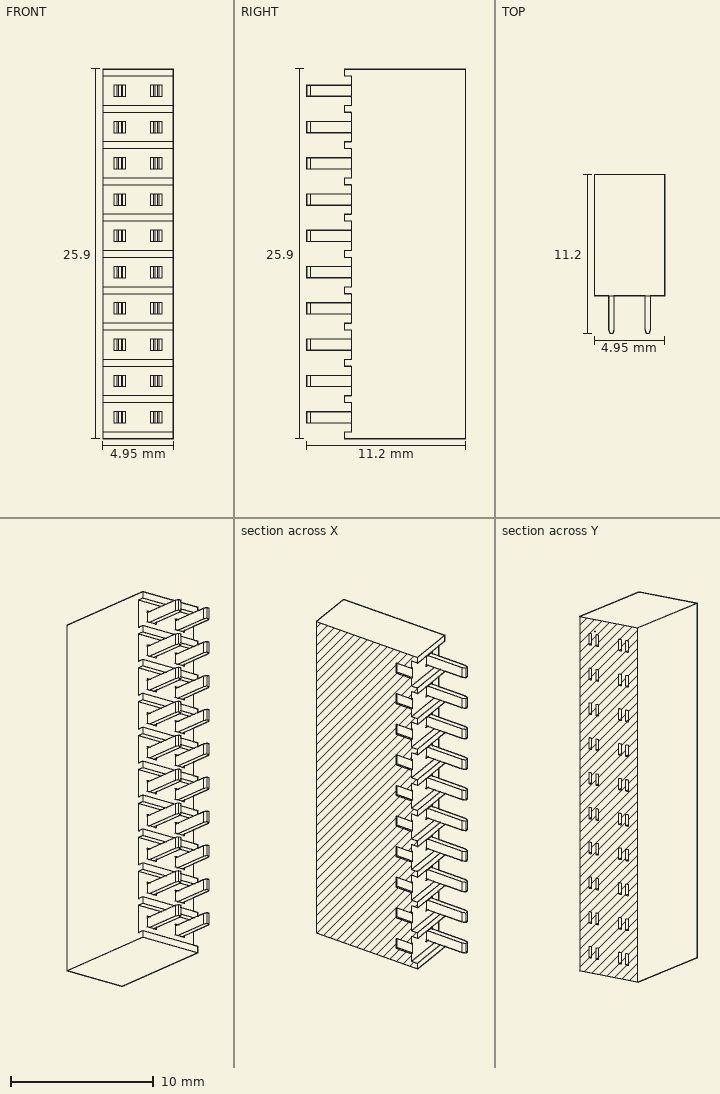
import cadquery as cq


width = 4.95
height = 25.9
overall_depth = 11.15
body_depth = 8.5

row_count = 10
rib_height = 0.5
rib_depth = 0.5
row_pitch = (height - rib_height) / row_count
channel_height = row_pitch - rib_height

column_pitch = row_pitch
pin_width = 0.4
pin_height = 0.8
pin_tip_width = 0.2
pin_tip_length = 0.25
socket_size = pin_height
socket_depth = 1.3

rib_face_y = -body_depth
channel_floor_y = rib_face_y + rib_depth
socket_floor_y = channel_floor_y + socket_depth
pin_tip_y = -overall_depth
pin_taper_y = pin_tip_y + pin_tip_length

row_heights = [(row - (row_count - 1) / 2) * row_pitch for row in range(row_count)]
column_offsets = [-column_pitch / 2, column_pitch / 2]


def box_between(x_size, y_front, y_back, z_size):
    """Box centred on X and Z that spans the given Y range."""
    return cq.Workplane("XY").box(x_size, y_back - y_front, z_size).translate((0, (y_front + y_back) / 2, 0))


def make_pin():
    """Flat pin rooted in the socket floor, tapered in width at its tip."""
    half_width = pin_width / 2
    half_tip = pin_tip_width / 2
    outline = [
        (-half_width, socket_floor_y),
        (half_width, socket_floor_y),
        (half_width, pin_taper_y),
        (half_tip, pin_tip_y),
        (-half_tip, pin_tip_y),
        (-half_width, pin_taper_y),
    ]
    return cq.Workplane("XY").polyline(outline).close().extrude(pin_height / 2, both=True)


block = box_between(width, rib_face_y, 0, height)
channel = box_between(width, rib_face_y, channel_floor_y, channel_height)
socket = box_between(socket_size, channel_floor_y, socket_floor_y, socket_size)
pin = make_pin()

for z in row_heights:
    block = block.cut(channel.translate((0, 0, z)))
    for x in column_offsets:
        block = block.cut(socket.translate((x, 0, z)))
        block = block.union(pin.translate((x, 0, z)))

result = block